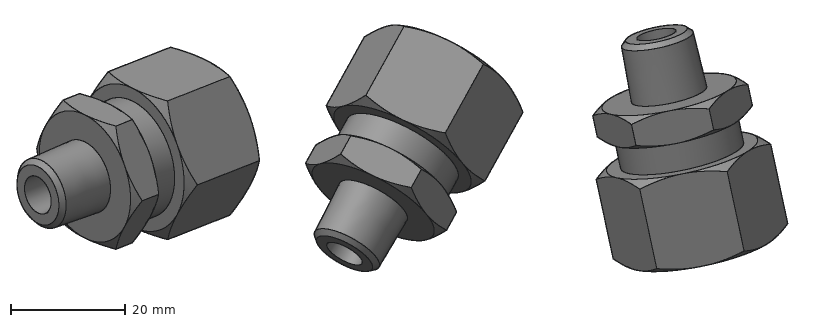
import cadquery as cq
import math

NUT_ACROSS_FLATS = 27.0
NUT_LENGTH = 17.0
BODY_ACROSS_FLATS = 24.0
BODY_LENGTH = 6.0
COLLAR_DIAMETER = 22.0
COLLAR_LENGTH = 5.2

HEX_SIDES = 6
HEX_CHAMFER_ANGLE = math.radians(30)

STUD_LENGTH = 11.0
GAUGE_LENGTH = 6.0
GAUGE_DIAMETER = 13.157
THREAD_TAPER = 1 / 16
TIP_CHAMFER = 0.9
BORE_DIAMETER = 7.0

BODY_START = STUD_LENGTH
COLLAR_START = BODY_START + BODY_LENGTH
NUT_START = COLLAR_START + COLLAR_LENGTH
TOTAL_LENGTH = NUT_START + NUT_LENGTH


def plane_across_axis(y):
    """Workplane square to the Y axis, facing +Y."""
    return cq.Workplane(cq.Plane(origin=(0, y, 0), xDir=(1, 0, 0), normal=(0, 1, 0)))


def revolve_about_y(profile):
    """Revolve (radius, y) points about the Y axis."""
    return cq.Workplane("XY").polyline(profile).close().revolve(360, (0, 0, 0), (0, 1, 0))


def cylinder_along_y(diameter, start, length):
    return plane_across_axis(start).circle(diameter / 2).extrude(length)


def chamfered_hex(across_flats, start, length):
    """Hexagon with corners on X, its corners turned off conically at both ends."""
    across_corners = across_flats / math.cos(math.pi / HEX_SIDES)
    prism = plane_across_axis(start).polygon(HEX_SIDES, across_corners).extrude(length)

    face_radius = across_flats / 2
    outer_radius = across_corners
    cone_depth = (outer_radius - face_radius) * math.tan(HEX_CHAMFER_ANGLE)

    for end, inward in ((start, 1), (start + length, -1)):
        waste = revolve_about_y([
            (face_radius, end),
            (outer_radius, end + inward * cone_depth),
            (outer_radius, end),
        ])
        prism = prism.cut(waste)
    return prism


def thread_radius(y):
    return (GAUGE_DIAMETER + (y - GAUGE_LENGTH) * THREAD_TAPER) / 2


def tapered_stud():
    """Tapered stud with a 45 degree tip chamfer."""
    chamfer_radius = thread_radius(TIP_CHAMFER)
    return revolve_about_y([
        (0, 0),
        (chamfer_radius - TIP_CHAMFER, 0),
        (chamfer_radius, TIP_CHAMFER),
        (thread_radius(STUD_LENGTH), STUD_LENGTH),
        (0, STUD_LENGTH),
    ])


body = chamfered_hex(BODY_ACROSS_FLATS, BODY_START, BODY_LENGTH)
collar = cylinder_along_y(COLLAR_DIAMETER, COLLAR_START, COLLAR_LENGTH)
nut = chamfered_hex(NUT_ACROSS_FLATS, NUT_START, NUT_LENGTH)
bore = cylinder_along_y(BORE_DIAMETER, 0, TOTAL_LENGTH)

result = tapered_stud().union(body).union(collar).union(nut).cut(bore)